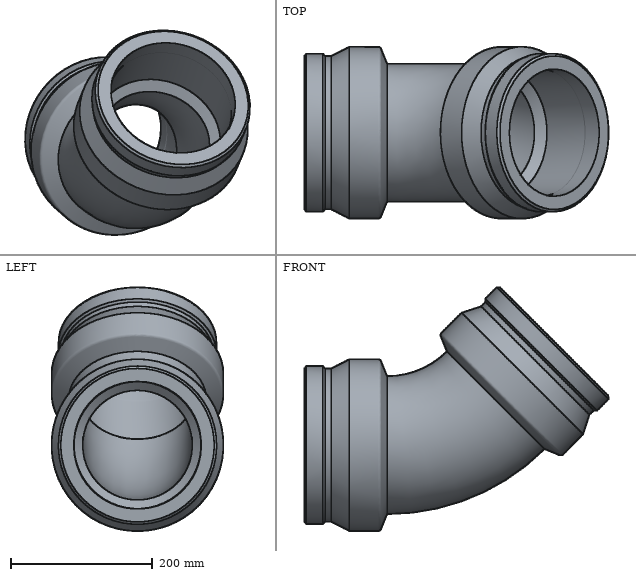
import cadquery as cq

bend_angle = 45
bend_radius = 217.5
tube_radius = 98.0
bore_radius = 77.5

socket_length = 117.5
lip_radius = 112.2
lip_length = 29.5
lip_chamfer_length = 3.0
lip_chamfer_height = 3.5
groove_radius = lip_radius - lip_chamfer_height
groove_end = 38.0
collar_radius = 121.95
collar_start = 64.0
collar_end = 107.5
collar_round = 4.7

edge_search = 0.5

mouth_radius = 90.0
mouth_length = 27.0
recess_radius = 90.5
recess_start = 29.8
cavity_length = 105.5


def revolve_about_x(outline):
    """Revolve an (x, radius) outline about the X axis."""
    return cq.Workplane("XZ").polyline(outline).close().revolve(360, (0, 0, 0), (1, 0, 0))


def socket():
    """Socket with its open face at X = 0, extending towards +X."""
    outline = [
        (0, mouth_radius),
        (0, lip_radius - lip_chamfer_height),
        (lip_chamfer_length, lip_radius),
        (lip_length - lip_chamfer_length, lip_radius),
        (lip_length, groove_radius),
        (groove_end, groove_radius),
        (collar_start, collar_radius),
        (collar_end, collar_radius),
        (socket_length, tube_radius),
        (socket_length, bore_radius),
        (cavity_length, recess_radius),
        (recess_start, recess_radius),
        (mouth_length, mouth_radius),
    ]
    body = revolve_about_x(outline)
    collar_edge = cq.selectors.BoxSelector(
        (collar_end - edge_search, -collar_radius, -collar_radius),
        (collar_end + edge_search, collar_radius, collar_radius),
        boundingbox=False,
    )
    return body.edges("%CIRCLE").edges(collar_edge).fillet(collar_round)


def bend():
    """Tube curving from +X up towards +Z, starting at the end of the first socket."""
    return (
        cq.Workplane("YZ", origin=(socket_length, 0, 0))
        .circle(tube_radius)
        .circle(bore_radius)
        .revolve(bend_angle, (0, bend_radius, 0), (-1, bend_radius, 0))
    )


bend_centre = (socket_length, 0, bend_radius)
bend_axis_end = (socket_length, 1, bend_radius)

inlet = socket()
outlet = (
    socket()
    .mirror("YZ", (socket_length, 0, 0))
    .rotate(bend_centre, bend_axis_end, -bend_angle)
)
result = inlet.union(bend()).union(outlet)